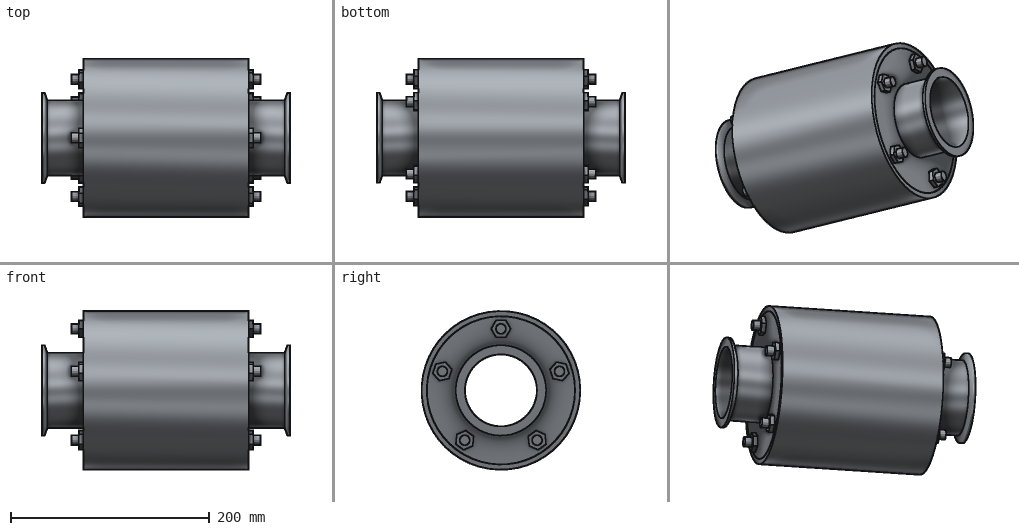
import cadquery as cq
import math

overall_length = 250.0
shell_length = 166.5
shell_diameter = 160.0
shell_bore = 149.5

plug_end_diameter = 149.0
plug_end_depth = 10.0
pipe_diameter = 76.2
pipe_bore = 72.2

ferrule_diameter = 91.0
ferrule_thickness = 5.5
ferrule_cone_angle = 20.0
ferrule_edge_radius = 0.8

stud_count = 5
stud_circle_radius = 62.0
stud_diameter = 10.0
stud_length = 12.0
nut_across_flats = 17.0
nut_thickness = 4.5

half_length = overall_length / 2
face_x = shell_length / 2


def cylinder_x(diameter, length):
    """Cylinder centred on the origin with its axis along X."""
    return cq.Workplane("YZ", origin=(-length / 2, 0, 0)).circle(diameter / 2).extrude(length)


def make_shell():
    return cylinder_x(shell_diameter, shell_length).cut(cylinder_x(shell_bore, shell_length))


def make_ferrule():
    """Ferrule at the +X end: a cylindrical rim, a rounded edge and a cone down to the pipe."""
    angle = math.radians(ferrule_cone_angle)
    rim_radius = ferrule_diameter / 2
    root_radius = pipe_diameter / 2
    root_x = half_length - ferrule_thickness
    corner_x = root_x + (rim_radius - root_radius) * math.tan(angle)

    centre_x = corner_x + ferrule_edge_radius * (1 - math.sin(angle)) / math.cos(angle)
    centre_r = rim_radius - ferrule_edge_radius

    def edge_point(turn):
        """Point on the rounded edge, turned from the rim toward the cone."""
        return (
            centre_x - ferrule_edge_radius * math.sin(turn),
            centre_r + ferrule_edge_radius * math.cos(turn),
        )

    full_turn = math.pi / 2 - angle
    return (
        cq.Workplane("XY")
        .moveTo(half_length, 0)
        .lineTo(half_length, rim_radius)
        .lineTo(*edge_point(0))
        .threePointArc(edge_point(full_turn / 2), edge_point(full_turn))
        .lineTo(root_x, root_radius)
        .lineTo(root_x, 0)
        .close()
        .revolve(360, (0, 0, 0), (1, 0, 0))
    )


def make_stud_with_nut():
    """Stud and nut on the +X end face, above the axis, with two nut flats facing up and down."""
    across_corners = nut_across_flats / math.cos(math.pi / 6)
    end_face = cq.Workplane("YZ", origin=(face_x, 0, stud_circle_radius))
    nut = end_face.polygon(6, across_corners).extrude(nut_thickness)
    stud = end_face.circle(stud_diameter / 2).extrude(stud_length)
    return nut.union(stud)


def make_plug():
    fitted_length = shell_length - 2 * plug_end_depth
    return cylinder_x(shell_bore, fitted_length).union(cylinder_x(plug_end_diameter, shell_length))


def make_core():
    pipe_length = overall_length - 2 * ferrule_thickness
    core = make_plug().union(cylinder_x(pipe_diameter, pipe_length))
    ferrule = make_ferrule()
    core = core.union(ferrule).union(ferrule.mirror("YZ"))

    stud = make_stud_with_nut()
    for i in range(stud_count):
        placed = stud.rotate((0, 0, 0), (1, 0, 0), i * 360 / stud_count)
        core = core.union(placed).union(placed.mirror("YZ"))
    return core.cut(cylinder_x(pipe_bore, overall_length))


shell = make_shell()
core = make_core()

result = cq.Compound.makeCompound([shell.val(), core.val()])